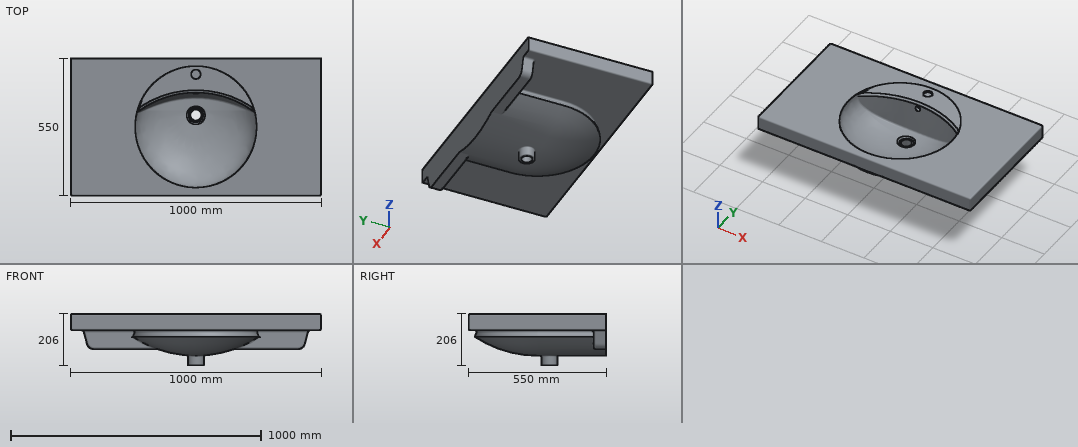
import cadquery as cq
import math


slab_width = 1000.0
slab_depth = 550.0
slab_height = 66.0
slab_edge_radius = 7.0

bowl_center_y = -274.0
opening_radius = 243.0
deck_recess = 5.0
deck_foot_radius = 3.0
tap_hole_radius = 19.0
tap_hole_y = -64.0
tap_hole_depth = 8.0

floor_z = -140.0
bowl_depth = -deck_recess - floor_z
seam_y = -208.0
section_count = 13
last_section_angle = math.radians(86)
union_tolerance = 1e-3

back_wall_radius = 400.0
back_wall_top_y = -127.0
back_wall_center_y = back_wall_top_y - back_wall_radius
back_wall_lean = 22.0
back_wall_rim_radius = 10.0
back_wall_foot_radius = 8.0
overflow_radius = 11.0
overflow_z = -30.0
overflow_length = 25.0

shell_neck_radius = 240.0
shell_shoulder_radius = 249.0
shell_shoulder_z = -84.0
shell_radius = 251.0
shell_rim_z = -92.0
shell_bottom_z = -168.0
shell_joint_radius = 7.0

panel_bottom_z = -142.0
panel_top_half_width = 450.0
panel_bottom_half_width = 430.0
panel_depth = 50.0
panel_corner_radius = 30.0
panel_edge_radius = 10.0
panel_flare_radius = 10.0

drain_y = -227.0
drain_bore_radius = 22.0
drain_seat_radius = 29.0
drain_seat_depth = 6.0
drain_clearance = 5.0
pipe_diameter = 65.0
pipe_radius = pipe_diameter / 2
pipe_bottom_z = -206.0
pipe_edge_radius = 2.0
pipe_joint_radius = 4.0

pick_margin = 1.0


def cylinder(radius, center_y, z_low, z_high):
    """Vertical cylinder on the middle plane of the part."""
    base = cq.Workplane("XY", origin=(0, center_y, z_low))
    return base.circle(radius).extrude(z_high - z_low)


def edges_in_box(body, half_width, y_low, y_high, z_low, z_high):
    """Edges that lie wholly inside a box centred on the middle plane."""
    box = cq.selectors.BoxSelector(
        (-half_width - pick_margin, y_low - pick_margin, z_low - pick_margin),
        (half_width + pick_margin, y_high + pick_margin, z_high + pick_margin),
        boundingbox=True,
    )
    return body.edges(box)


def make_slab():
    slab = cq.Workplane("XY", origin=(0, -slab_depth, -slab_height)).box(
        slab_width, slab_depth, slab_height, centered=(True, False, False)
    )
    return slab.edges("not >Y").fillet(slab_edge_radius)


def make_wall_panel():
    top_z = -slab_height
    panel = (
        cq.Workplane("XZ")
        .moveTo(-panel_top_half_width, top_z)
        .lineTo(panel_top_half_width, top_z)
        .lineTo(panel_bottom_half_width, panel_bottom_z)
        .lineTo(-panel_bottom_half_width, panel_bottom_z)
        .close()
        .extrude(panel_depth)
    )
    panel = panel.edges("|Y").edges("<Z").fillet(panel_corner_radius)
    return panel.faces("<Y").edges("not >Z").fillet(panel_edge_radius)


def add_wall_panel(body):
    """Join the wall panel and flare it into the underside of the slab."""
    body = body.union(make_wall_panel())
    joint = edges_in_box(
        body, panel_top_half_width, -panel_depth, 0, -slab_height, -slab_height
    )
    return joint.edges("not >Y").fillet(panel_flare_radius)


def shell_half_profile():
    """Right half of the shell's cross-section: a neck, a shoulder and a shallow arc."""
    rise = shell_rim_z - shell_bottom_z
    arc_radius = (shell_radius**2 + rise**2) / (2 * rise)
    middle_angle = math.asin(shell_radius / arc_radius) / 2
    arc_middle = (
        arc_radius * math.sin(middle_angle),
        shell_bottom_z + arc_radius * (1 - math.cos(middle_angle)),
    )
    return (
        cq.Workplane("XZ", origin=(0, bowl_center_y, 0))
        .moveTo(0, -slab_height)
        .lineTo(shell_neck_radius, -slab_height)
        .lineTo(shell_shoulder_radius, shell_shoulder_z)
        .lineTo(shell_radius, shell_rim_z)
        .threePointArc(arc_middle, (0, shell_bottom_z))
        .close()
    )


def make_shell():
    """Round dish at the front, its cross-section carried straight to the back."""
    dish = shell_half_profile().revolve(360, (0, 0), (0, 1))
    right_half = shell_half_profile().extrude(bowl_center_y)
    return dish.union(right_half).union(right_half.mirror("YZ"))


def add_shell(body):
    """Join the shell and round its corner with the panel and the slab."""
    body = body.union(make_shell())
    panel_front_y = -panel_depth
    joint = edges_in_box(
        body,
        shell_radius,
        panel_front_y - panel_flare_radius,
        panel_front_y + panel_edge_radius,
        panel_bottom_z,
        -slab_height,
    )
    return joint.edges("not |X").fillet(shell_joint_radius)


def add_drain_pipe(body):
    pipe = cylinder(pipe_radius, drain_y, pipe_bottom_z, floor_z)
    pipe = pipe.faces("<Z").edges().fillet(pipe_edge_radius)
    body = body.union(pipe)
    joint = edges_in_box(
        body,
        pipe_radius,
        drain_y - pipe_radius,
        drain_y + pipe_radius,
        shell_bottom_z,
        shell_bottom_z + pipe_joint_radius,
    )
    return joint.fillet(pipe_joint_radius)


def make_deck_recess():
    """Shallow round recess whose foot is rounded, except where the bowl opens."""
    disc = cylinder(opening_radius, bowl_center_y, -deck_recess, 0)
    bowl_side = cylinder(back_wall_radius, back_wall_center_y, -deck_recess, 0)
    deck = disc.faces("<Z").edges().fillet(deck_foot_radius)
    return deck.union(disc.intersect(bowl_side))


def basin_section(angle):
    """Circle at one level of the bowl; it shrinks toward the lowest point at the seam."""
    size = math.cos(angle)
    section_y = seam_y + (bowl_center_y - seam_y) * size
    section_z = -deck_recess - bowl_depth * math.sin(angle)
    plane = cq.Plane(origin=(0, section_y, section_z), xDir=(0, 1, 0), normal=(0, 0, 1))
    return cq.Workplane(plane).circle(opening_radius * size).wires().val()


def make_back_wall_cone():
    """Round space in front of the leaning back wall, rounded over at the rim."""
    slope = back_wall_lean / bowl_depth
    lean_angle = math.atan(slope)
    bottom_z = shell_bottom_z
    lip_center_z = -deck_recess - back_wall_rim_radius

    def lip_point(angle):
        return (
            back_wall_radius + back_wall_rim_radius * math.cos(angle),
            lip_center_z + back_wall_rim_radius * math.sin(angle),
        )

    top_angle = math.pi / 2
    end_angle = math.pi - lean_angle
    end_radius, end_z = lip_point(end_angle)
    return (
        cq.Workplane("XZ", origin=(0, back_wall_center_y, 0))
        .moveTo(0, -deck_recess)
        .lineTo(back_wall_radius, -deck_recess)
        .threePointArc(lip_point((top_angle + end_angle) / 2), (end_radius, end_z))
        .lineTo(end_radius - (end_z - bottom_z) * slope, bottom_z)
        .lineTo(0, bottom_z)
        .close()
        .revolve(360, (0, 0), (0, 1))
    )


def make_basin():
    """Bowl cavity: shrinking circles in front of the seam, a straight trough behind it."""
    step = last_section_angle / (section_count - 1)
    dish = cq.Solid.makeLoft([basin_section(i * step) for i in range(section_count)])
    behind_seam = cq.Workplane("XY", origin=(0, seam_y, 0)).box(
        slab_width, slab_depth, slab_depth, centered=(True, False, True)
    )
    front = cq.Workplane(dish).cut(behind_seam)

    seam_half_width = math.sqrt(opening_radius**2 - (bowl_center_y - seam_y) ** 2)
    above_deck = cq.Workplane("XY", origin=(0, 0, -deck_recess)).box(
        slab_width, slab_depth, slab_depth, centered=(True, True, False)
    )
    trough = (
        cq.Workplane("XZ", origin=(0, seam_y, -deck_recess))
        .ellipse(seam_half_width, bowl_depth)
        .extrude(seam_y)
        .cut(above_deck)
    )
    basin = front.union(trough, tol=union_tolerance).intersect(make_back_wall_cone())

    rim_bottom_z = -deck_recess - 2 * back_wall_rim_radius
    wall_edges = basin.faces("%CONE").edges().vals()
    foot = [edge for edge in wall_edges if edge.BoundingBox().zmin < rim_bottom_z]
    return basin.newObject(foot).fillet(back_wall_foot_radius)


def make_overflow():
    mouth_y = back_wall_top_y - back_wall_lean
    mouth = cq.Workplane("XZ", origin=(0, mouth_y, overflow_z)).circle(overflow_radius)
    return mouth.extrude(-overflow_length)


def make_drain_bore():
    """Through hole in the pipe with a wider seat, flared at 45 degrees, in the bowl floor."""
    seat_z = floor_z - drain_seat_depth
    top_z = floor_z + drain_clearance
    top_radius = drain_seat_radius + top_z - seat_z
    return (
        cq.Workplane("XZ", origin=(0, drain_y, 0))
        .moveTo(0, pipe_bottom_z)
        .lineTo(drain_bore_radius, pipe_bottom_z)
        .lineTo(drain_bore_radius, seat_z)
        .lineTo(drain_seat_radius, seat_z)
        .lineTo(top_radius, top_z)
        .lineTo(0, top_z)
        .close()
        .revolve(360, (0, 0), (0, 1))
    )


tap_hole = cylinder(tap_hole_radius, tap_hole_y, -deck_recess - tap_hole_depth, 0)

body = add_wall_panel(make_slab())
body = add_shell(body)
body = add_drain_pipe(body)
for cavity in (make_deck_recess(), make_basin(), tap_hole, make_overflow(), make_drain_bore()):
    body = body.cut(cavity)

result = body